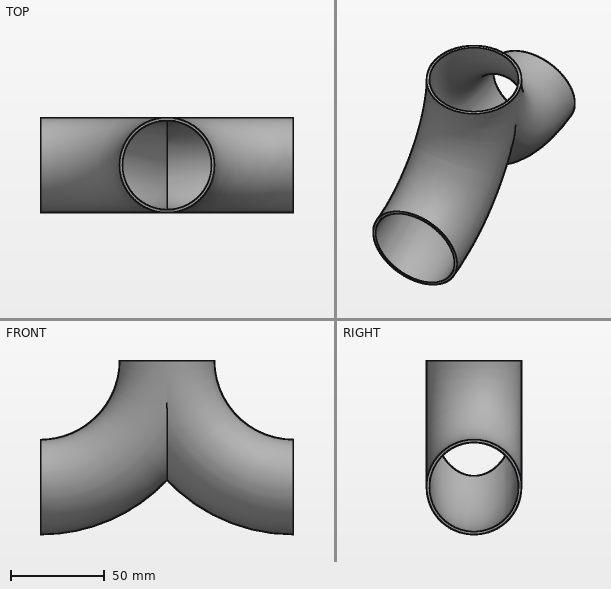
import cadquery as cq

bend_radius = 67.5
outer_diameter = 50.8
wall = 1.6
bend_angle = 90.0

inner_diameter = outer_diameter - 2 * wall


def elbow(diameter, side):
    """Solid quarter bend from the top opening to the end at x = side * bend_radius."""
    return (
        cq.Workplane("XY")
        .circle(diameter / 2)
        .revolve(bend_angle, (side * bend_radius, 0), (side * bend_radius, -side))
    )


def twin_elbow(diameter):
    """Both quarter bends joined, sharing one top opening."""
    return elbow(diameter, 1).union(elbow(diameter, -1))


result = twin_elbow(outer_diameter).cut(twin_elbow(inner_diameter))